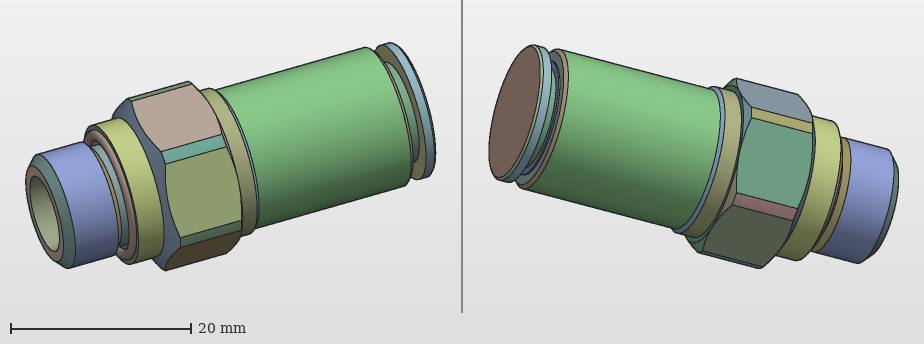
import cadquery as cq
import math

total_length = 43.8
tip_y = -total_length / 2

tip_chamfer_length = 1.0
thread_end = 6.18
thread_runout_length = 0.65
seat_start = 7.95
hex_start = 11.05
hex_end = 20.05
shoulder_end = 22.43
shoulder_chamfer = 0.4
body_end = 41.05
body_chamfer = 0.4
insert_end = 41.2
flange_start = 42.55
flange_chamfer = 0.25

tip_radius = 5.5
thread_radius = 6.55
neck_radius = 5.8
body_radius = 8.0
shoulder_radius = body_radius + shoulder_chamfer
insert_radius = 6.53
flange_radius = 7.75

ring_outer_radius = 7.5
ring_section_radius = 0.6

hex_across_flats = 18.0
hex_corner_diameter = 19.97
hex_turn = 30
hex_chamfer_angle = math.radians(30)

bore_radius = 4.35
bore_depth = seat_start


def revolve_about_axis(profile):
    """Revolve a closed (radius, distance from tip) profile about the Y axis."""
    return profile.close().revolve(360, (0, 0, 0), (0, 1, 0)).translate((0, tip_y, 0))


def make_turned_body():
    ring_centre = ring_outer_radius - ring_section_radius
    ring_inner_radius = ring_centre - ring_section_radius
    profile = (
        cq.Workplane("XY")
        .lineTo(tip_radius, 0)
        .lineTo(thread_radius, tip_chamfer_length)
        .lineTo(thread_radius, thread_end)
        .lineTo(neck_radius, thread_end + thread_runout_length)
        .lineTo(neck_radius, seat_start)
        .lineTo(ring_inner_radius, seat_start)
        .threePointArc((ring_centre, seat_start - ring_section_radius), (ring_outer_radius, seat_start))
        .lineTo(body_radius, seat_start)
        .lineTo(body_radius, hex_end)
        .lineTo(shoulder_radius, hex_end)
        .lineTo(shoulder_radius, shoulder_end - shoulder_chamfer)
        .lineTo(body_radius, shoulder_end)
        .lineTo(body_radius, body_end - body_chamfer)
        .lineTo(body_radius - body_chamfer, body_end)
        .lineTo(insert_radius, body_end)
        .lineTo(insert_radius, insert_end)
        .lineTo(neck_radius, insert_end)
        .lineTo(neck_radius, flange_start)
        .lineTo(flange_radius, flange_start)
        .lineTo(flange_radius, total_length - flange_chamfer)
        .lineTo(flange_radius - flange_chamfer, total_length)
        .lineTo(0, total_length)
    )
    return revolve_about_axis(profile)


def make_hexagon():
    """Hexagonal prism with flats facing +Z and -Z, trimmed by a chamfered cylinder."""
    hex_length = hex_end - hex_start
    prism = (
        cq.Workplane("XZ", origin=(0, tip_y + hex_end, 0))
        .polygon(6, hex_across_flats, circumscribed=True)
        .extrude(hex_length)
        .rotate((0, 0, 0), (0, 1, 0), hex_turn)
    )
    corner_radius = hex_corner_diameter / 2
    flat_radius = hex_across_flats / 2
    front_chamfer_length = (corner_radius - body_radius) * math.tan(hex_chamfer_angle)
    rear_chamfer_length = (corner_radius - flat_radius) * math.tan(hex_chamfer_angle)
    envelope = revolve_about_axis(
        cq.Workplane("XY")
        .moveTo(0, hex_start)
        .lineTo(body_radius, hex_start)
        .lineTo(corner_radius, hex_start + front_chamfer_length)
        .lineTo(corner_radius, hex_end - rear_chamfer_length)
        .lineTo(flat_radius, hex_end)
        .lineTo(0, hex_end)
    )
    return prism.intersect(envelope)


def make_bore():
    profile = (
        cq.Workplane("XY")
        .lineTo(bore_radius, 0)
        .lineTo(bore_radius, bore_depth)
        .lineTo(0, bore_depth)
    )
    return revolve_about_axis(profile)


result = make_turned_body().union(make_hexagon()).cut(make_bore())